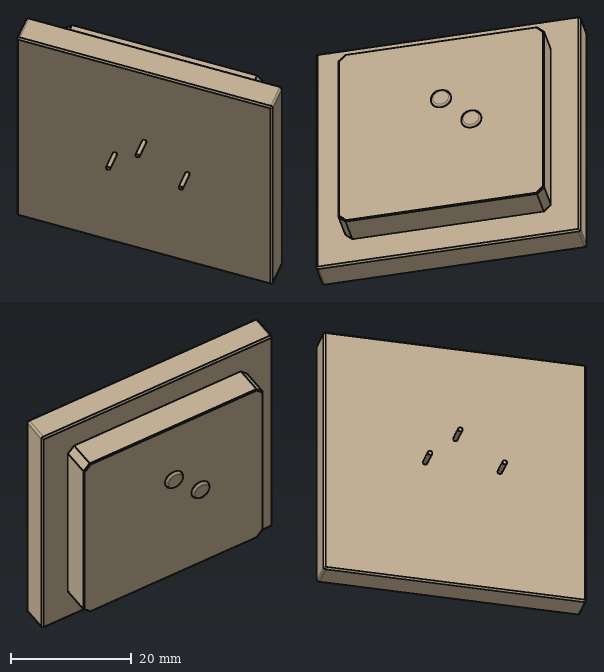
import cadquery as cq
plate_size = 45.0
plate_depth = 5.0
plate_corner_radius = 0.4
plate_edge_chamfer = 0.3

body_size = 35.0
body_depth = 5.05
body_corner_chamfer = 1.2
body_back_chamfer = 0.2

pin_diameter = 0.75
pin_near_offset = 5.18
pin_far_offset = 7.6
upper_pin = (0.0, pin_near_offset)
left_pin = (-pin_near_offset, 0.0)
right_pin = (pin_far_offset, 0.0)

head_diameter = 3.4
head_height = 0.5
head_edge_radius = 0.35

total_depth = 13.9
body_back = plate_depth + body_depth
pin_length = total_depth - body_back - head_height


def block(size, start, depth):
    """Square block centred on the Y axis, running from Y = start towards +Y."""
    return cq.Workplane("XY").box(size, depth, size).translate((0, start + depth / 2, 0))


def cylinder(center, diameter, start, depth):
    """Cylinder along Y at an (X, Z) center, running from Y = start towards +Y."""
    x, z = center
    profile = cq.Workplane("XZ", origin=(x, start, z)).circle(diameter / 2)
    return profile.extrude(-depth)


plate = block(plate_size, 0, plate_depth)
plate = plate.edges("|Y").fillet(plate_corner_radius)
plate = plate.faces("<Y or >Y").chamfer(plate_edge_chamfer)

body = block(body_size, plate_depth, body_depth)
body = body.edges("|Y").chamfer(body_corner_chamfer)
body = body.faces(">Y").chamfer(body_back_chamfer)

result = plate.union(body)

for pin_center in (upper_pin, left_pin, right_pin):
    result = result.union(cylinder(pin_center, pin_diameter, -pin_length, pin_length))

for head_center in (upper_pin, left_pin):
    head = cylinder(head_center, head_diameter, body_back, head_height)
    result = result.union(head.faces(">Y").edges().fillet(head_edge_radius))